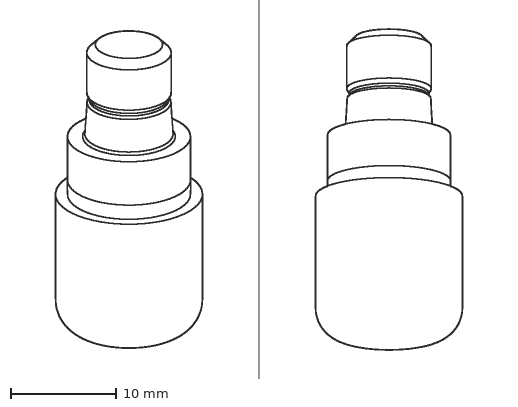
import cadquery as cq
import math

cap_diameter = 14.0
cap_radius = cap_diameter / 2
cap_height = 14.0
base_round = 3.0
collar_radius = 5.85
split_height = 15.48

total_height = 29.6
shoulder_top = 20.0
root_flare_height = 0.27
root_flare_width = 0.2
neck_bottom_radius = 4.2
neck_top_radius = 4.0
neck_top = 23.6
groove_radius = 3.8
groove_bottom = 23.85
groove_top = 24.12
shank_bottom = 24.57
shank_radius = 4.03
tip_chamfer = 0.83


def revolve_about_z(profile):
    """Turn a closed radius-height profile into a solid about the Z axis."""
    return profile.close().revolve(360, (0, 0, 0), (0, 1, 0))


def make_cap():
    round_center_radius = cap_radius - base_round
    round_middle = (
        round_center_radius + base_round * math.cos(math.radians(45)),
        base_round - base_round * math.sin(math.radians(45)),
    )
    profile = (
        cq.Workplane("XZ")
        .lineTo(round_center_radius, 0)
        .threePointArc(round_middle, (cap_radius, base_round))
        .lineTo(cap_radius, cap_height)
        .lineTo(collar_radius, cap_height)
        .lineTo(collar_radius, split_height)
        .lineTo(0, split_height)
    )
    return revolve_about_z(profile)


def make_stud():
    profile = (
        cq.Workplane("XZ")
        .moveTo(0, split_height)
        .lineTo(collar_radius, split_height)
        .lineTo(collar_radius, shoulder_top)
        .lineTo(neck_bottom_radius + root_flare_width, shoulder_top)
        .lineTo(neck_bottom_radius, shoulder_top + root_flare_height)
        .lineTo(neck_top_radius, neck_top)
        .lineTo(groove_radius, groove_bottom)
        .lineTo(groove_radius, groove_top)
        .lineTo(shank_radius, shank_bottom)
        .lineTo(shank_radius, total_height - tip_chamfer)
        .lineTo(shank_radius - tip_chamfer, total_height)
        .lineTo(0, total_height)
    )
    return revolve_about_z(profile)


cap = make_cap()
stud = make_stud()

result = cq.Compound.makeCompound([cap.val(), stud.val()])